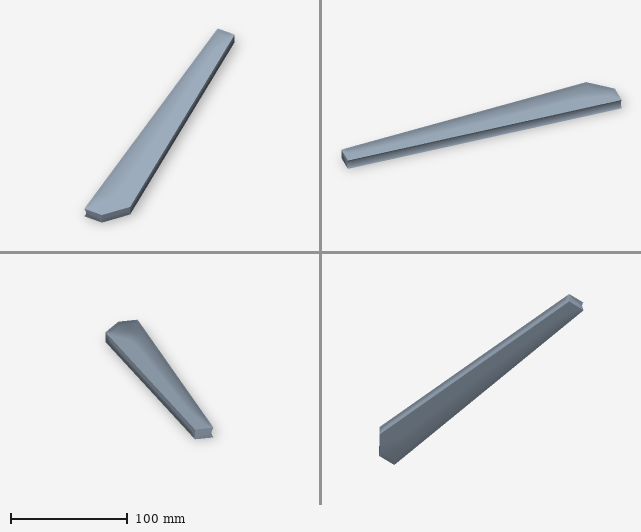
import cadquery as cq

length = 249.5
width = 34.0
thickness = 9.0
tip_width = 16.5
foot_width = 17.0
shoulder_height = 20.0
groove_depth = 1.7

blade = (
    cq.Workplane("XY")
    .polyline([
        (0, 0),
        (foot_width, 0),
        (width, shoulder_height),
        (tip_width, length),
        (0, length),
    ])
    .close()
    .extrude(thickness)
)

groove = (
    cq.Workplane("XZ")
    .moveTo(0, 0)
    .threePointArc((groove_depth, thickness / 2), (0, thickness))
    .close()
    .extrude(-length)
)

result = blade.cut(groove)